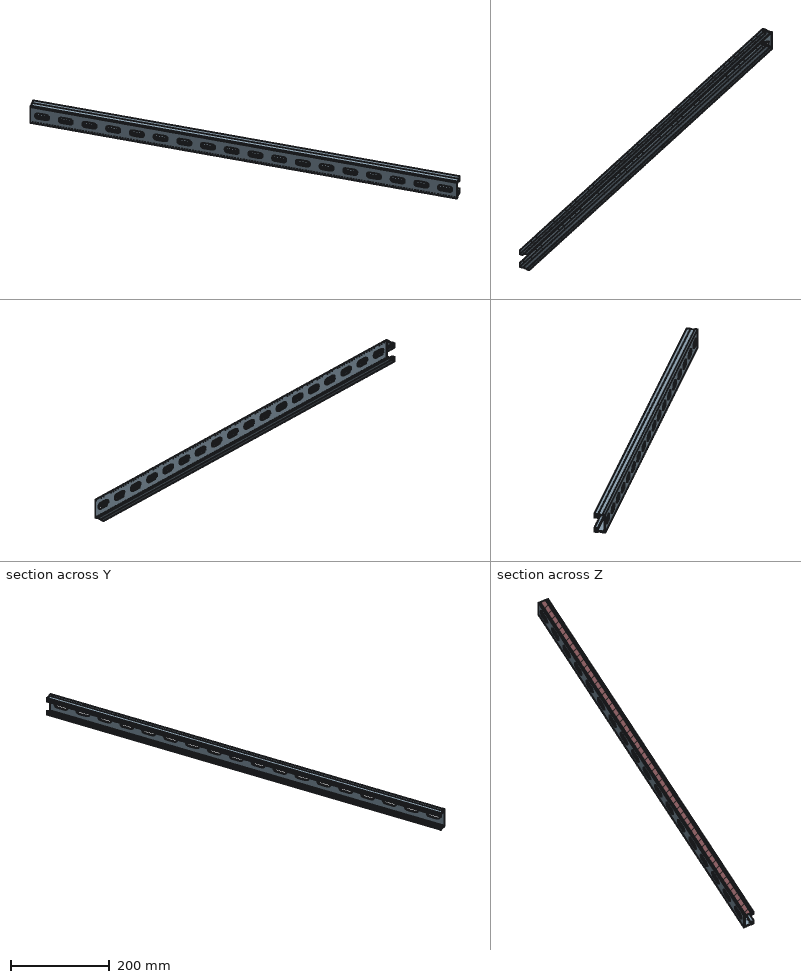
import cadquery as cq
import math

length = 900.0
depth = 22.79
height = 41.3

thickness = 2.5
opening = 22.3
lip_depth = 7.0

groove_front_land = 6.0
groove_back_land = 4.0
groove_depth = 1.0
groove_shoulder_radius = thickness

slot_count = 18
slot_pitch = length / slot_count
slot_length = 30.0
slot_width = 13.5


def half_section():
    """Upper half of the C-section in the YZ plane, closed along the centreline Z = 0.

    Each groove shoulder is an arc tangent to the outer wall, centred on the inner wall.
    """
    outer_z = height / 2
    inner_z = outer_z - thickness
    groove_z = outer_z - groove_depth
    groove_inner_z = groove_z - thickness
    groove_front = depth - groove_front_land

    shoulder_angle = math.acos(1 - groove_depth / groove_shoulder_radius)
    shoulder_width = groove_shoulder_radius * math.sin(shoulder_angle)
    shoulder_mid_width = groove_shoulder_radius * math.sin(shoulder_angle / 2)
    shoulder_mid_z = outer_z - groove_shoulder_radius * (1 - math.cos(shoulder_angle / 2))

    lip_z = opening / 2
    lip_tip = depth - lip_depth
    front_inner = depth - thickness
    return (
        cq.Workplane("YZ")
        .moveTo(0, 0)
        .lineTo(0, outer_z)
        .lineTo(groove_back_land, outer_z)
        .threePointArc(
            (groove_back_land + shoulder_mid_width, shoulder_mid_z),
            (groove_back_land + shoulder_width, groove_z),
        )
        .lineTo(groove_front - shoulder_width, groove_z)
        .threePointArc(
            (groove_front - shoulder_mid_width, shoulder_mid_z),
            (groove_front, outer_z),
        )
        .lineTo(depth, outer_z)
        .lineTo(depth, lip_z)
        .lineTo(lip_tip, lip_z)
        .lineTo(lip_tip, lip_z + thickness)
        .lineTo(front_inner, lip_z + thickness)
        .lineTo(front_inner, inner_z)
        .lineTo(groove_front, inner_z)
        .lineTo(groove_front, groove_inner_z)
        .lineTo(groove_back_land, groove_inner_z)
        .lineTo(groove_back_land, inner_z)
        .lineTo(thickness, inner_z)
        .lineTo(thickness, 0)
        .close()
    )


def channel():
    """C-section extruded along X, open on +Y, with lips turned back into the opening."""
    upper_half = half_section().extrude(length / 2, both=True)
    lower_half = upper_half.mirror("XY")
    return upper_half.union(lower_half)


def slots():
    """Row of evenly pitched slot cutters through the back web."""
    return (
        cq.Workplane("XZ")
        .rarray(slot_pitch, 1, slot_count, 1)
        .slot2D(slot_length, slot_width)
        .extrude(-thickness)
    )


result = channel().cut(slots())